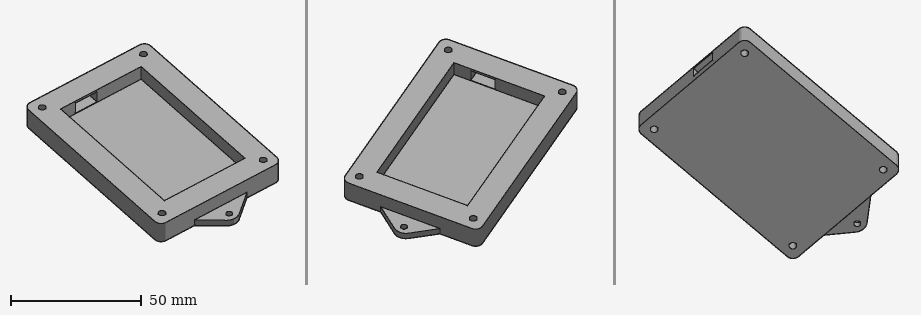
import cadquery as cq
import math

total_length = 93.7
housing_length = 85.0
housing_width = 59.0
housing_height = 9.6
corner_radius = 3.0
floor_thickness = 3.0
rim_width = 10.0

screw_hole_diameter = 2.9
screw_hole_inset = rim_width / 2

port_width = 10.3
port_height = 5.25
port_bottom = 3.3
port_center_y = -7.0

lug_thickness = floor_thickness
lug_reach = total_length - housing_length
lug_base_width = 25.5
lug_tip_radius = 5.0
lug_hole_diameter = 2.5
lug_hole_to_tip = 3.4


def make_housing():
    """Open-topped tray with rounded corners, its bottom at Z = 0."""
    bottom_up = (True, True, False)
    body = cq.Workplane("XY").box(housing_length, housing_width, housing_height, centered=bottom_up)
    body = body.edges("|Z").fillet(corner_radius)

    pocket = (
        cq.Workplane("XY", origin=(0, 0, floor_thickness))
        .rect(housing_length - 2 * rim_width, housing_width - 2 * rim_width)
        .extrude(housing_height - floor_thickness)
    )
    screw_holes = (
        cq.Workplane("XY")
        .rect(housing_length - 2 * screw_hole_inset, housing_width - 2 * screw_hole_inset, forConstruction=True)
        .vertices()
        .circle(screw_hole_diameter / 2)
        .extrude(housing_height)
    )
    port_center_x = (rim_width - housing_length) / 2
    port = cq.Workplane("XY", origin=(port_center_x, port_center_y, port_bottom)).box(
        rim_width, port_width, port_height, centered=bottom_up
    )
    return body.cut(pocket).cut(screw_holes).cut(port)


def make_lug():
    """Triangular hanging lug with a rounded tip and one hole, flush with the housing bottom."""
    wall_x = housing_length / 2
    half_base = lug_base_width / 2
    tip_x = wall_x + lug_reach

    center_offset = lug_reach - lug_tip_radius
    corner_distance = math.hypot(center_offset, half_base)
    tangent_angle = math.atan2(half_base, -center_offset) - math.acos(lug_tip_radius / corner_distance)
    tangent_x = wall_x + center_offset + lug_tip_radius * math.cos(tangent_angle)
    tangent_y = lug_tip_radius * math.sin(tangent_angle)

    blank = (
        cq.Workplane("XY")
        .moveTo(wall_x, -half_base)
        .lineTo(tangent_x, -tangent_y)
        .threePointArc((tip_x, 0), (tangent_x, tangent_y))
        .lineTo(wall_x, half_base)
        .close()
        .extrude(lug_thickness)
    )
    hole_x = tip_x - lug_hole_to_tip
    hole = cq.Workplane("XY").center(hole_x, 0).circle(lug_hole_diameter / 2).extrude(lug_thickness)
    return blank.cut(hole)


housing = make_housing()
lug = make_lug()

result = cq.Compound.makeCompound([housing.val(), lug.val()])